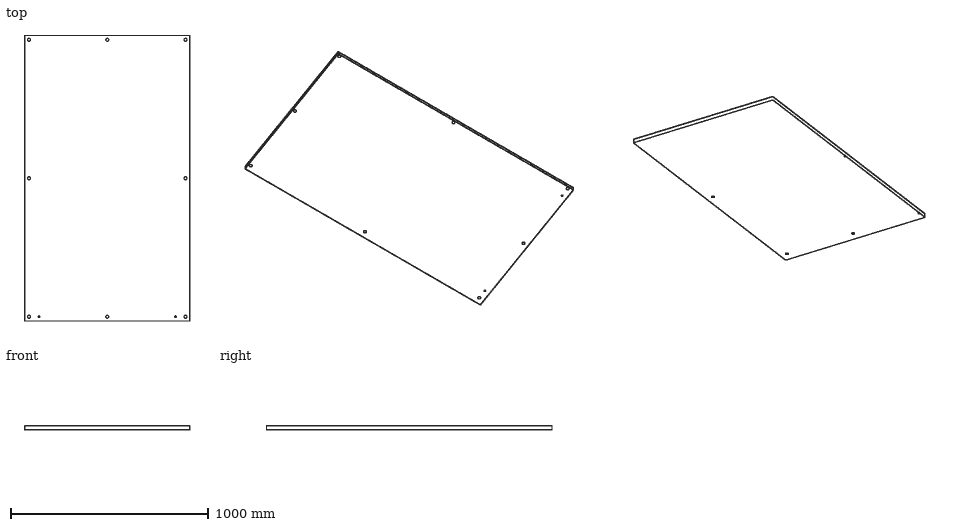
import cadquery as cq

width = 838.2
length = 1447.8
height = 22.225
sheet_thickness = 2.657
bend_radius = 3.0
corner_radius = bend_radius

mounting_hole_diameter = 14.3
mounting_hole_inset = 22.225

small_hole_diameter = 7.92
small_hole_spacing = 692.15


def make_pan():
    """Sheet face on top with four flanges reaching down to Z = 0."""
    block = cq.Workplane("XY").box(width, length, height, centered=(True, True, False))
    block = block.edges("|Z").fillet(corner_radius)
    block = block.faces(">Z").edges().fillet(bend_radius)
    return block.faces("<Z").shell(-sheet_thickness)


def hole_cutters(diameter, centres):
    """Cylinders that pierce the face of the pan."""
    return cq.Workplane("XY").pushPoints(centres).circle(diameter / 2).extrude(height)


hole_x = width / 2 - mounting_hole_inset
hole_y = length / 2 - mounting_hole_inset

mounting_centres = [
    (column * hole_x, row * hole_y)
    for column in (-1, 0, 1)
    for row in (-1, 0, 1)
    if (column, row) != (0, 0)
]
small_centres = [(side * small_hole_spacing / 2, -hole_y) for side in (-1, 1)]

result = (
    make_pan()
    .cut(hole_cutters(mounting_hole_diameter, mounting_centres))
    .cut(hole_cutters(small_hole_diameter, small_centres))
)